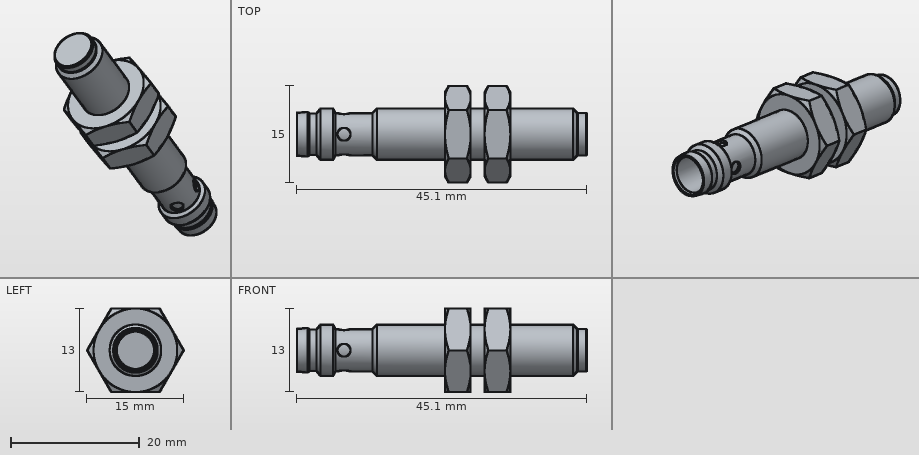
import cadquery as cq
import math

length = 45.06
barrel_r = 8.0 / 2

tip_r = 6.67 / 2
lip_r = 6.92 / 2
groove_r = 6.5 / 2
lip_start = 1.25
lip_end = 1.7
groove_start = 1.95
collar_start = 3.05
collar_front_chamfer_length = 0.65
collar_full_end = 5.6
collar_end = 6.0

neck_r = 6.6 / 2
barrel_start = 11.75

cap_r = 6.67 / 2
undercut_r = 6.5 / 2
undercut_width = 0.1
cap_start = 43.63
cap_chamfer = 0.2

socket_r = 5.8 / 2
socket_depth = 6.0
socket_mouth_r = 6.2 / 2
socket_mouth_depth = 0.5

window_d = 2.0
window_x = 7.33
window_count = 4
window_floor_r = 2.9

nut_sides = 6
nut_across_flats = 13.0
nut_thickness = 4.0
nut_chamfer_angle = 30.0
nut_starts = (23.0, 29.15)


def revolve_about_x(points):
    """Turn a closed (x, radius) outline about the X axis."""
    return cq.Workplane("XY").polyline(points).close().revolve(360, (0, 0, 0), (1, 0, 0))


def tube_along_x(start, end, outer_r, inner_r):
    return (
        cq.Workplane("YZ", origin=(start, 0, 0))
        .circle(outer_r)
        .circle(inner_r)
        .extrude(end - start)
    )


def make_sensor():
    barrel_full_start = barrel_start + (barrel_r - neck_r)
    undercut_start = cap_start - undercut_width
    barrel_end_chamfer = barrel_r - cap_r
    barrel_full_end = undercut_start - barrel_end_chamfer
    body = revolve_about_x([
        (0, 0),
        (0, tip_r),
        (lip_start, lip_r),
        (lip_end, lip_r),
        (groove_start, groove_r),
        (collar_start, groove_r),
        (collar_start + collar_front_chamfer_length, barrel_r),
        (collar_full_end, barrel_r),
        (collar_end, neck_r),
        (barrel_start, neck_r),
        (barrel_full_start, barrel_r),
        (barrel_full_end, barrel_r),
        (undercut_start, cap_r),
        (undercut_start, undercut_r),
        (cap_start, undercut_r),
        (cap_start, cap_r),
        (length - cap_chamfer, cap_r),
        (length, cap_r - cap_chamfer),
        (length, 0),
    ])
    socket = revolve_about_x([
        (0, 0),
        (0, socket_mouth_r),
        (socket_mouth_depth, socket_r),
        (socket_depth, socket_r),
        (socket_depth, 0),
    ])
    return body.cut(socket).cut(make_window_cutters())


def make_window_cutters():
    """Round pockets whose floors follow a cylinder coaxial with the neck."""
    ring = tube_along_x(window_x - window_d, window_x + window_d, barrel_r, window_floor_r)
    drills = cq.Workplane("XY")
    for index in range(window_count):
        drill = cq.Workplane("XY", origin=(window_x, 0, 0)).circle(window_d / 2).extrude(barrel_r)
        drills = drills.add(drill.rotate((0, 0, 0), (1, 0, 0), index * 360 / window_count))
    return drills.combine().intersect(ring)


def make_nut(start):
    """Hexagon nut with flats facing +Z and -Z and its corners turned off on both faces."""
    corner_r = nut_across_flats / 2 / math.cos(math.pi / nut_sides)
    face_r = nut_across_flats / 2
    chamfer_length = (corner_r - face_r) * math.tan(math.radians(nut_chamfer_angle))
    end = start + nut_thickness
    hexagon = (
        cq.Workplane("YZ", origin=(start, 0, 0))
        .polygon(nut_sides, 2 * corner_r)
        .circle(barrel_r)
        .extrude(nut_thickness)
    )
    turned_blank = revolve_about_x([
        (start, 0),
        (start, face_r),
        (start + chamfer_length, corner_r),
        (end - chamfer_length, corner_r),
        (end, face_r),
        (end, 0),
    ])
    return hexagon.intersect(turned_blank)


sensor = make_sensor()
nuts = [make_nut(start) for start in nut_starts]

result = cq.Compound.makeCompound([sensor.val(), *[nut.val() for nut in nuts]])